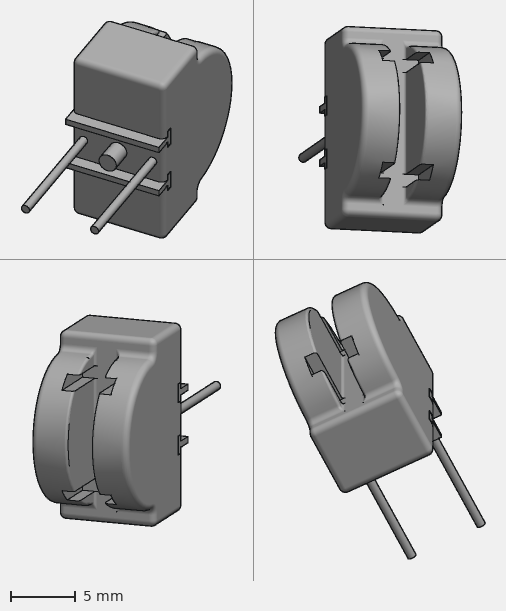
import cadquery as cq

body_width = 8.0
body_height = 15.0
body_front = -1.01
nose_radius = 6.0
nose_tip = 11.0
body_back = nose_tip - nose_radius
edge_radius = 0.5

slot_width = 2.02
slot_edge_radius = 0.22

groove_depth = 1.01
groove_bottom = 4.0
groove_height = 1.01

bar_length = 8.1
bar_offset = 2.1
bar_front = -2.02
bar_thickness = 0.5
bar_head_height = 1.5
bar_head_front = body_front + edge_radius
bar_head_back = 0.0

pin_diameter = 0.7
pin_offset = 3.0
pin_tip = -11.0
peg_diameter = 1.5
peg_tip = -2.82


def block(width, y_start, y_end, height, z=0.0):
    """Box centred on x = 0 and the given z that runs from y_start to y_end."""
    box = cq.Workplane("XY").box(width, y_end - y_start, height)
    return box.translate((0, (y_start + y_end) / 2, z))


def front_rod(diameter, tip, x=0.0):
    """Rod along Y from y = 0, inside the housing, forward to the tip."""
    rod = cq.Workplane("XZ").center(x, 0).circle(diameter / 2)
    return rod.extrude(-tip)


def rounded_housing():
    nose = (
        cq.Workplane("YZ")
        .moveTo(body_back, -nose_radius)
        .threePointArc((nose_tip, 0), (body_back, nose_radius))
        .close()
        .extrude(body_width / 2, both=True)
    )
    solid = block(body_width, body_front, body_back, body_height).union(nose)
    return solid.edges().fillet(edge_radius)


def split_nose(housing):
    """Cut the slot, round its floor corners, then round the rims of both arms."""
    split = housing.cut(block(slot_width, body_back, nose_tip, body_height))
    margin = 0.02
    half_reach = slot_width / 2 + margin
    slot_space = cq.selectors.BoxSelector(
        (-half_reach, body_back - margin, -body_height),
        (half_reach, nose_tip + margin, body_height),
    )
    floor_corners = split.faces("|X").faces(slot_space).edges("|Z")
    split = floor_corners.fillet(slot_edge_radius)
    rims = split.faces("|X").faces(slot_space).edges("not |Z")
    return rims.fillet(slot_edge_radius)


def wall_grooves():
    """Grooves along Y that open through the round face of the arms."""
    width = slot_width + 2 * groove_depth
    z = groove_bottom + groove_height / 2
    upper = block(width, body_back, nose_tip, groove_height, z=z)
    return upper.union(upper.mirror("XY"))


def cross_bar(z):
    web = block(bar_length, bar_front, bar_head_back, bar_thickness, z=z)
    head = block(bar_length, bar_head_front, bar_head_back, bar_head_height, z=z)
    return web.union(head)


result = split_nose(rounded_housing()).cut(wall_grooves())

for side in (-1, 1):
    result = result.union(cross_bar(side * bar_offset))
    result = result.union(front_rod(pin_diameter, pin_tip, side * pin_offset))

result = result.union(front_rod(peg_diameter, peg_tip))